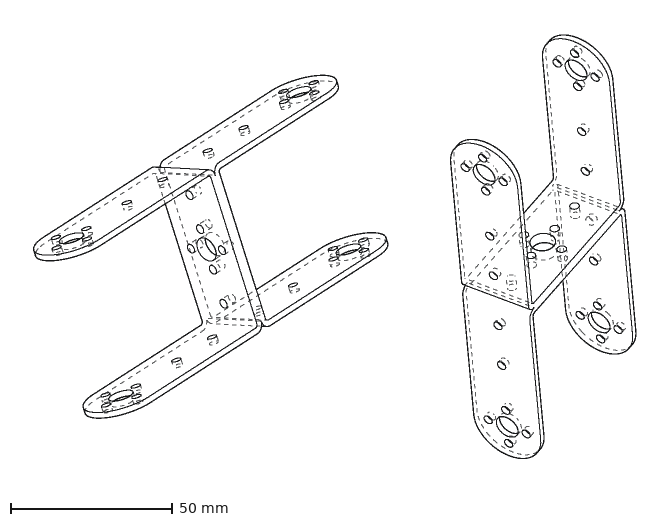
import cadquery as cq
import math

sheet = 2.0
strip_width = 24.6
outer_height = 56.0
overall_length = 124.2
inner_bend_radius = 1.0
outer_bend_radius = inner_bend_radius + sheet

center_hole_diameter = 8.0
small_hole_diameter = 3.0
bolt_circle_radius = 7.0
arm_hole_offsets = (10.5, 27.3)
web_hole_offset = 18.6

yaw = 20.7
tilt = 34.5

end_radius = strip_width / 2
end_center_spacing = (overall_length - strip_width) / math.cos(math.radians(yaw))
end_center = end_center_spacing / 2
arm_length = end_center + end_radius


def bent_strip():
    """Bend the strip into a U opening toward +Y, with its web back on Y = 0."""
    outer = (
        cq.Workplane("XY")
        .box(strip_width, arm_length, outer_height, centered=(True, False, True))
        .faces("<Y").edges("|X").fillet(outer_bend_radius)
    )
    inner = (
        cq.Workplane("XY")
        .box(strip_width, arm_length, outer_height - 2 * sheet, centered=(True, False, True))
        .faces("<Y").edges("|X").fillet(inner_bend_radius)
        .translate((0, sheet, 0))
    )
    return outer.cut(inner)


def rounded_arm_outline():
    """Envelope that rounds the free ends of both arms."""
    straight = cq.Workplane("XY").box(
        strip_width, end_center, outer_height, centered=(True, False, True)
    )
    end = cq.Workplane("XY").center(0, end_center).circle(end_radius).extrude(outer_height / 2, both=True)
    return straight.union(end)


def hole_pattern(plane, center, single_holes, half_depth):
    """Cutters for a center hole with four bolt holes, plus single holes on the strip's center line."""
    bolt_holes = [
        (0, center + bolt_circle_radius),
        (0, center - bolt_circle_radius),
        (bolt_circle_radius, center),
        (-bolt_circle_radius, center),
    ]
    small_holes = bolt_holes + [(0, offset) for offset in single_holes]
    large = (
        cq.Workplane(plane).center(0, center)
        .circle(center_hole_diameter / 2).extrude(half_depth, both=True)
    )
    small = (
        cq.Workplane(plane).pushPoints(small_holes)
        .circle(small_hole_diameter / 2).extrude(half_depth, both=True)
    )
    return large.union(small)


def bracket():
    """One U bracket with rounded, drilled arms and a drilled web."""
    arm_holes = hole_pattern("XY", end_center, arm_hole_offsets, outer_height)
    web_holes = hole_pattern("XZ", 0, (-web_hole_offset, web_hole_offset), 2 * sheet)
    return bent_strip().intersect(rounded_arm_outline()).cut(arm_holes).cut(web_holes)


half = bracket()
opposite_half = half.rotate((0, 0, 0), (0, 0, 1), 180)
result = (
    half.union(opposite_half)
    .rotate((0, 0, 0), (0, 0, 1), yaw)
    .rotate((0, 0, 0), (0, 1, 0), -tilt)
)